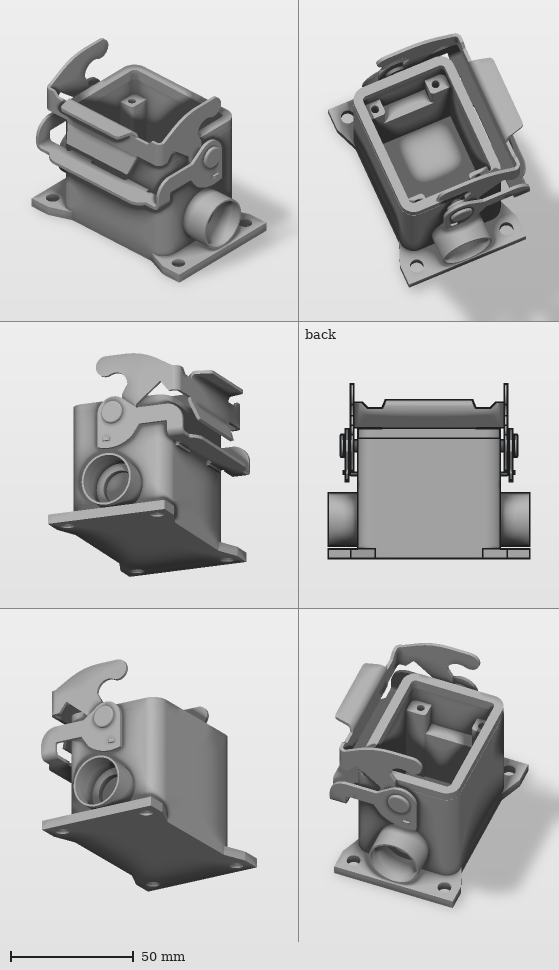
import cadquery as cq
import math


BASE_LENGTH = 82.0
BASE_HALF_WIDTH = 26.0
BASE_HEIGHT = 3.9
EAR_OUTER_X = 31.8
EAR_INNER_X = 21.9
MOUNT_HOLE_X = 34.9
MOUNT_HOLE_Y = 19.9
MOUNT_HOLE_DIAMETER = 5.6
BODY_HALF_LENGTH = 29.0
BODY_HALF_WIDTH = 22.05
BODY_CORNER_RADIUS = 6.0
BODY_HEIGHT = 53.0
RIM_START = 48.95
RIM_INSET = 0.1
CAVITY_HALF_LENGTH = 24.9
CAVITY_HALF_WIDTH = 18.1
CAVITY_CORNER_RADIUS = 1.9
UNDERCUT = 0.3
UNDERCUT_TOP = 48.4
UNDERCUT_CORNER_RADIUS = 2.5
LEDGE_HEIGHT = 29.5
LEFT_LEDGE_X = 19.2
BOSS_HEIGHT = 40.8
BOSS_INNER_X = 18.5
RIGHT_LEDGE_X = BOSS_INNER_X
BOSS_INNER_Y = 10.0
BOSS_EDGE_RADIUS = 1.5
SCREW_X = 22.0
SCREW_Y = 13.45
SCREW_TOP_RADIUS = 1.6
SCREW_BOTTOM_RADIUS = 1.3
SCREW_DEPTH = 8.2

ENTRY_HEIGHT = 16.0
ENTRY_OUTER_RADIUS = 10.9
ENTRY_INNER_RADIUS = 10.1
ENTRY_BORE_END_X = 27.8
KNOCKOUT_RADIUS = 7.05
KNOCKOUT_END_X = CAVITY_HALF_LENGTH

PIN_HEIGHT = 45.9
PIN_RADIUS = 2.5
PIN_HEAD_RADIUS = 4.7
PIN_HEAD_INNER_X = 34.7
PIN_HEAD_OUTER_X = 36.0
PIN_HEAD_ROUNDING = 0.65
PIN_ROOT = 0.8

SHEET = 1.4
BEND_INNER = 1.4
BEND_OUTER = BEND_INNER + SHEET
BEND_OVERLAP = 0.4

BAIL_OUTER_X = 34.0
BAIL_EYE_RADIUS = 7.0
BAIL_SLOPE = math.radians(36.8)
BAIL_ARM_TOP = 46.9
BAIL_ARM_BOTTOM = 39.9
BAIL_BACK_Y = -23.95
BAIL_FRONT_Y = -30.75
BAIL_ARM_RADIUS = 7.2
BAIL_INNER_CORNER_RADIUS = 0.65
BAIL_BELLY_START = (-11.6, BAIL_ARM_BOTTOM)
BAIL_BELLY_KNEE = (-8.3, 35.3)
BAIL_BELLY_MIDDLE = (-2.2, 31.9)
BAIL_BELLY_END = (BAIL_EYE_RADIUS, 32.1)
BAIL_PLATE_BOTTOM = 33.8
BAIL_LIP_Y = -34.2
BAIL_LIP_FLAT_X = 20.1
BAIL_LIP_END_X = 26.6
BAIL_LIP_ROUND_X = 23.7
BAIL_LIP_ROUND_Y = -33.45
SLOT_Y = -24.85
TAB_INNER_X = 9.8
TAB_OUTER_X = 21.3
TAB_BOTTOM = 32.9
NOTCH_RADIUS = 0.9
SLOT_CORNER_RADIUS = 1.2
NUB_Y = 3.0
NUB_Z = 35.1
NUB_LENGTH = 3.1
NUB_HEIGHT = 1.5
NUB_OUTER_X = 34.9
NUB_CHAMFER = 0.6

LEVER_OUTER_X = 32.0
LEVER_FRONT_Y = -28.1
LEVER_TOP = 71.0
LEVER_PLATE_TOP = 63.6
LEVER_PLATE_BOTTOM = 53.2
HOOK_RADIUS = 4.3
HOOK_Y = 4.35
LEVER_CHIN_Y = -23.5
BAY_Z = 58.1
LEVER_BACK_RADIUS = 28.7
LEVER_BACK_START_Y = -4.7
LEVER_BACK_SWEEP = 28
NECK_BACK_Y = -3.1
NECK_SHOULDER_Z = 54.3
NECK_FRONT_Y = -9.3
NECK_FRONT_TOP = 49.0
LEVER_PEAK_Y = -20.0
LEVER_PEAK_Z = 57.65
LEVER_PEAK_RADIUS = 0.4
LEVER_CHIN_RADIUS = 0.8
LEVER_HEEL_RADIUS = 8.4
LEVER_HEEL_Z = 44.1
LEVER_EYE_RADIUS = 4.5
RECESS_Z = 61.3
RECESS_BOTTOM_X = 24.9
RECESS_TOP_X = 27.2
FLANGE_ROOT_X = 19.0
FLANGE_BEND_X = 17.6
FLANGE_TIP_X = 15.9
FLANGE_TIP_RADIUS = 1.8
FLANGE_TOP = 64.7
FLANGE_TIP_Y = -36.0
FLAP_TOP = 51.5
FLAP_ANGLE = math.radians(22.4)
FLAP_LENGTH = 8.3
FLAP_TOP_X = 19.35
FLAP_BOTTOM_X = 16.65
FLAP_CORNER_RADIUS = 1.2


def on_circle(center, radius, degrees):
    """Point on a circle at an angle measured from the first axis."""
    a = math.radians(degrees)
    return (center[0] + radius * math.cos(a), center[1] + radius * math.sin(a))


def mirrored(points):
    """Continue a right-hand outline with its mirror image on the negative side of the first axis."""
    return points + [(-x, y) for x, y in reversed(points)]


def box(x0, x1, y0, y1, z0, z1):
    return cq.Workplane("XY").box(x1 - x0, y1 - y0, z1 - z0, centered=False).translate((x0, y0, z0))


def rod(radius, x0, x1, z):
    """Cylinder along X on the plane Y = 0."""
    return cq.Workplane("YZ", origin=(x0, 0, z)).circle(radius).extrude(x1 - x0)


def both_sides(solid):
    return solid.union(solid.mirror("YZ"))


def four_corners(solid):
    pair = both_sides(solid)
    return pair.union(pair.mirror("XZ"))


def prism_x(points, half_width):
    """Outline in Y and Z, extruded evenly to both sides of X = 0."""
    return cq.Workplane("YZ").polyline(points).close().extrude(half_width, both=True)


def prism_y(points, y0, y1):
    """Outline in X and Z, extruded from y0 to a smaller y1."""
    return cq.Workplane("XZ", origin=(0, y0, 0)).polyline(points).close().extrude(y0 - y1)


def round_edge(solid, point, radius):
    """Fillet the edge whose middle lies nearest to a point."""
    return solid.edges(cq.NearestToPointSelector(point)).fillet(radius)


def make_base():
    half_length = BASE_LENGTH / 2
    base = box(-half_length, half_length, -BASE_HALF_WIDTH, BASE_HALF_WIDTH, 0, BASE_HEIGHT)
    relief = [(EAR_INNER_X, -BODY_HALF_WIDTH), (EAR_OUTER_X, -BASE_HALF_WIDTH)]
    cut = cq.Workplane("XY").polyline(mirrored(relief)).close().extrude(BASE_HEIGHT)
    holes = (
        cq.Workplane("XY")
        .rect(2 * MOUNT_HOLE_X, 2 * MOUNT_HOLE_Y, forConstruction=True)
        .vertices()
        .circle(MOUNT_HOLE_DIAMETER / 2)
        .extrude(BASE_HEIGHT)
    )
    return base.cut(cut).cut(cut.mirror("XZ")).cut(holes)


def make_body():
    def block(inset, z0, z1):
        half_length = BODY_HALF_LENGTH - inset
        half_width = BODY_HALF_WIDTH - inset
        solid = box(-half_length, half_length, -half_width, half_width, z0, z1)
        return solid.edges("|Z").fillet(BODY_CORNER_RADIUS - inset)

    return block(0, 0, RIM_START).union(block(RIM_INSET, RIM_START, BODY_HEIGHT))


def make_cavity():
    """Space to remove from the body, leaving two side ledges and four corner bosses with screw holes."""
    x, y = CAVITY_HALF_LENGTH, CAVITY_HALF_WIDTH
    mouth = box(-x, x, -y, y, UNDERCUT_TOP, BODY_HEIGHT).edges("|Z").fillet(CAVITY_CORNER_RADIUS)
    x += UNDERCUT
    y += UNDERCUT
    chamber = box(-x, x, -y, y, BASE_HEIGHT, UNDERCUT_TOP).edges("|Z").fillet(UNDERCUT_CORNER_RADIUS)
    cavity = mouth.union(chamber)
    cavity = cavity.cut(box(-x, -LEFT_LEDGE_X, -y, y, BASE_HEIGHT, LEDGE_HEIGHT))
    cavity = cavity.cut(box(RIGHT_LEDGE_X, x, -y, y, BASE_HEIGHT, LEDGE_HEIGHT))
    boss = box(BOSS_INNER_X, x, BOSS_INNER_Y, y, BASE_HEIGHT, BOSS_HEIGHT)
    boss = boss.edges("|Z and <X and <Y").fillet(BOSS_EDGE_RADIUS)
    screw = (
        cq.Workplane("XY", origin=(SCREW_X, SCREW_Y, BOSS_HEIGHT - SCREW_DEPTH))
        .circle(SCREW_BOTTOM_RADIUS)
        .workplane(offset=SCREW_DEPTH)
        .circle(SCREW_TOP_RADIUS)
        .loft()
    )
    return cavity.cut(four_corners(boss)).union(four_corners(screw))


def make_entries():
    """Two tubes and the bores that stop inside the body wall."""
    end = BASE_LENGTH / 2
    tube = rod(ENTRY_OUTER_RADIUS, BODY_HALF_LENGTH, end, ENTRY_HEIGHT)
    bore = rod(ENTRY_INNER_RADIUS, ENTRY_BORE_END_X, end, ENTRY_HEIGHT)
    knockout = rod(KNOCKOUT_RADIUS, KNOCKOUT_END_X, ENTRY_BORE_END_X, ENTRY_HEIGHT)
    return both_sides(tube), both_sides(bore.union(knockout))


def make_pins():
    shaft = rod(PIN_RADIUS, BODY_HALF_LENGTH - PIN_ROOT, PIN_HEAD_INNER_X, PIN_HEIGHT)
    head = rod(PIN_HEAD_RADIUS, PIN_HEAD_INNER_X, PIN_HEAD_OUTER_X, PIN_HEIGHT)
    head = head.faces(">X").edges().fillet(PIN_HEAD_ROUNDING)
    return both_sides(shaft.union(head))


def make_bail_side():
    eye = (0, PIN_HEIGHT)
    tangent_angle = 90 + math.degrees(BAIL_SLOPE)
    tangent = on_circle(eye, BAIL_EYE_RADIUS, tangent_angle)
    drop = tangent[1] - BAIL_ARM_TOP
    arm_start_y = tangent[0] - drop / math.tan(BAIL_SLOPE)
    elbow = (BAIL_FRONT_Y + BAIL_ARM_RADIUS, BAIL_ARM_TOP - BAIL_ARM_RADIUS)
    foot_z = BAIL_PLATE_BOTTOM + BEND_OUTER
    side = (
        cq.Workplane("YZ", origin=(BAIL_OUTER_X - SHEET, 0, 0))
        .moveTo(BAIL_EYE_RADIUS, PIN_HEIGHT)
        .threePointArc(on_circle(eye, BAIL_EYE_RADIUS, tangent_angle / 2), tangent)
        .lineTo(arm_start_y, BAIL_ARM_TOP)
        .lineTo(elbow[0], BAIL_ARM_TOP)
        .threePointArc(on_circle(elbow, BAIL_ARM_RADIUS, 135), (BAIL_FRONT_Y, elbow[1]))
        .lineTo(BAIL_FRONT_Y, foot_z)
        .lineTo(BAIL_BACK_Y, foot_z)
        .lineTo(BAIL_BACK_Y, BAIL_ARM_BOTTOM)
        .lineTo(*BAIL_BELLY_START)
        .lineTo(*BAIL_BELLY_KNEE)
        .threePointArc(BAIL_BELLY_MIDDLE, BAIL_BELLY_END)
        .close()
        .extrude(SHEET)
    )
    inner_corner = (BAIL_OUTER_X - SHEET / 2, BAIL_BACK_Y, BAIL_ARM_BOTTOM)
    return round_edge(side, inner_corner, BAIL_INNER_CORNER_RADIUS)


def make_bail_plate():
    """Bottom web with its bends, rounded lip, centre slot and two tabs turned down to the body."""
    z0 = BAIL_PLATE_BOTTOM
    z1 = z0 + SHEET
    leg_top = z0 + BEND_OUTER + BEND_OVERLAP
    outer = box(-BAIL_OUTER_X, BAIL_OUTER_X, BAIL_FRONT_Y, BAIL_BACK_Y, z0, leg_top)
    outer = outer.edges("|Y and <Z").fillet(BEND_OUTER)
    inner_x = BAIL_OUTER_X - SHEET
    inner = box(-inner_x, inner_x, BAIL_FRONT_Y, BAIL_BACK_Y, z1, leg_top)
    channel = outer.cut(inner.edges("|Y and <Z").fillet(BEND_INNER))

    lip = (
        cq.Workplane("XY", origin=(0, 0, z0))
        .moveTo(-BAIL_LIP_END_X, BAIL_FRONT_Y)
        .threePointArc((-BAIL_LIP_ROUND_X, BAIL_LIP_ROUND_Y), (-BAIL_LIP_FLAT_X, BAIL_LIP_Y))
        .lineTo(BAIL_LIP_FLAT_X, BAIL_LIP_Y)
        .threePointArc((BAIL_LIP_ROUND_X, BAIL_LIP_ROUND_Y), (BAIL_LIP_END_X, BAIL_FRONT_Y))
        .close()
        .extrude(SHEET)
    )
    slot = box(-TAB_INNER_X, TAB_INNER_X, SLOT_Y, -BODY_HALF_WIDTH, z0, z1)
    slot = slot.edges("|Z and <Y").fillet(SLOT_CORNER_RADIUS)
    notch_center = (TAB_OUTER_X + NOTCH_RADIUS, SLOT_Y + NOTCH_RADIUS, z0)
    notch = cq.Workplane("XY", origin=notch_center).circle(NOTCH_RADIUS).extrude(SHEET)

    tab = box(TAB_INNER_X, TAB_OUTER_X, BAIL_BACK_Y, -BODY_HALF_WIDTH, TAB_BOTTOM, z1)
    tab = tab.edges("|X and >Y and >Z").fillet(SHEET)
    tab = tab.cut(box(TAB_INNER_X, TAB_OUTER_X, BAIL_BACK_Y, -BODY_HALF_WIDTH - SHEET, TAB_BOTTOM, z0))
    return channel.union(lip).cut(slot).cut(both_sides(notch)).union(both_sides(tab))


def make_bail():
    y0 = NUB_Y - NUB_LENGTH / 2
    z0 = NUB_Z - NUB_HEIGHT / 2
    nub = box(LEVER_OUTER_X, NUB_OUTER_X, y0, y0 + NUB_LENGTH, z0, z0 + NUB_HEIGHT)
    nub = nub.faces(">X").edges("|Z").chamfer(NUB_CHAMFER)
    return make_bail_plate().union(both_sides(make_bail_side().union(nub)))


def make_lever_side():
    eye = (0, PIN_HEIGHT)
    hook = (HOOK_Y, LEVER_TOP - HOOK_RADIUS)
    bay = (0, BAY_Z)
    bay_direction = math.degrees(math.atan2(hook[1] - bay[1], hook[0]))
    bay_radius = math.dist(hook, bay) - HOOK_RADIUS
    back = (LEVER_BACK_START_Y, LEVER_TOP - LEVER_BACK_RADIUS)
    heel = (NECK_FRONT_Y + LEVER_HEEL_RADIUS, LEVER_HEEL_Z)
    heel_bottom = LEVER_HEEL_Z - LEVER_HEEL_RADIUS
    bend_y = LEVER_FRONT_Y + BEND_OUTER
    eye_z = PIN_HEIGHT + math.sqrt(LEVER_EYE_RADIUS**2 - NECK_BACK_Y**2)
    side = (
        cq.Workplane("YZ", origin=(LEVER_OUTER_X - SHEET, 0, 0))
        .moveTo(NECK_BACK_Y, eye_z)
        .lineTo(NECK_BACK_Y, NECK_SHOULDER_Z)
        .lineTo(-bay_radius, BAY_Z)
        .threePointArc(on_circle(bay, bay_radius, 120), on_circle(bay, bay_radius, bay_direction))
        .threePointArc(on_circle(hook, HOOK_RADIUS, 0), (HOOK_Y, LEVER_TOP))
        .lineTo(LEVER_BACK_START_Y, LEVER_TOP)
        .threePointArc(
            on_circle(back, LEVER_BACK_RADIUS, 90 + LEVER_BACK_SWEEP / 2),
            on_circle(back, LEVER_BACK_RADIUS, 90 + LEVER_BACK_SWEEP),
        )
        .lineTo(bend_y, LEVER_PLATE_TOP)
        .lineTo(bend_y, LEVER_PLATE_BOTTOM)
        .lineTo(LEVER_CHIN_Y, LEVER_PLATE_BOTTOM)
        .lineTo(LEVER_PEAK_Y, LEVER_PEAK_Z)
        .lineTo(NECK_FRONT_Y, NECK_FRONT_TOP)
        .lineTo(NECK_FRONT_Y, LEVER_HEEL_Z)
        .threePointArc(on_circle(heel, LEVER_HEEL_RADIUS, 225), (heel[0], heel_bottom))
        .lineTo(NUB_Y, heel_bottom)
        .lineTo(LEVER_EYE_RADIUS, PIN_HEIGHT)
        .threePointArc(on_circle(eye, LEVER_EYE_RADIUS, 60), (NECK_BACK_Y, eye_z))
        .close()
        .extrude(SHEET)
    )
    middle_x = LEVER_OUTER_X - SHEET / 2
    side = round_edge(side, (middle_x, LEVER_PEAK_Y, LEVER_PEAK_Z), LEVER_PEAK_RADIUS)
    return round_edge(side, (middle_x, LEVER_CHIN_Y, LEVER_PLATE_BOTTOM), LEVER_CHIN_RADIUS)


def make_lever_plate():
    """Front plate between the two lever sides, with rounded bends and a lowered top edge."""
    back_y = LEVER_FRONT_Y + BEND_OUTER + BEND_OVERLAP
    z0, z1 = LEVER_PLATE_BOTTOM, LEVER_PLATE_TOP
    outer = box(-LEVER_OUTER_X, LEVER_OUTER_X, LEVER_FRONT_Y, back_y, z0, z1)
    outer = outer.edges("|Z and <Y").fillet(BEND_OUTER)
    inner_x = LEVER_OUTER_X - SHEET
    inner = box(-inner_x, inner_x, LEVER_FRONT_Y + SHEET, back_y, z0, z1)
    plate = outer.cut(inner.edges("|Z and <Y").fillet(BEND_INNER))
    recess = mirrored([(RECESS_BOTTOM_X, RECESS_Z), (RECESS_TOP_X, LEVER_PLATE_TOP)])
    return plate.cut(prism_y(recess, back_y, LEVER_FRONT_Y))


def make_thumb_flange():
    """Flange turned outward from the top of the front plate, narrowing to its tip."""
    back_y = LEVER_FRONT_Y + SHEET
    root_z = RECESS_Z - BEND_OVERLAP
    half_width = FLANGE_ROOT_X
    outer = box(-half_width, half_width, FLANGE_TIP_Y, back_y, root_z, FLANGE_TOP)
    outer = outer.edges("|X and >Y and >Z").fillet(BEND_OUTER)
    inner = box(-half_width, half_width, FLANGE_TIP_Y, LEVER_FRONT_Y, root_z, FLANGE_TOP - SHEET)
    flange = outer.cut(inner.edges("|X and >Y and >Z").fillet(BEND_INNER))
    bend_end_y = back_y - BEND_OUTER
    plan = mirrored([(FLANGE_ROOT_X, back_y), (FLANGE_BEND_X, bend_end_y), (FLANGE_TIP_X, FLANGE_TIP_Y)])
    outline = cq.Workplane("XY", origin=(0, 0, root_z)).polyline(plan).close().extrude(FLANGE_TOP - root_z)
    neck = mirrored([(FLANGE_ROOT_X, root_z), (FLANGE_ROOT_X, RECESS_Z), (FLANGE_BEND_X, FLANGE_TOP)])
    flange = flange.intersect(prism_y(neck, back_y, FLANGE_TIP_Y))
    return flange.intersect(outline.edges("|Z and <Y").fillet(FLANGE_TIP_RADIUS))


def make_flap():
    """Flap below the front plate, bent outward and narrowing downward."""
    run = FLAP_LENGTH * math.sin(FLAP_ANGLE)
    fall = FLAP_LENGTH * math.cos(FLAP_ANGLE)
    back_y = LEVER_FRONT_Y + SHEET
    shift_y = SHEET * math.cos(FLAP_ANGLE)
    shift_z = SHEET * math.sin(FLAP_ANGLE)
    front_top = FLAP_TOP + SHEET * math.tan(FLAP_ANGLE / 2)
    section = [
        (back_y, LEVER_PLATE_BOTTOM),
        (back_y, FLAP_TOP),
        (back_y - run, FLAP_TOP - fall),
        (back_y - run - shift_y, FLAP_TOP - fall + shift_z),
        (LEVER_FRONT_Y, front_top),
        (LEVER_FRONT_Y, LEVER_PLATE_BOTTOM),
    ]
    front = mirrored([(FLAP_TOP_X, LEVER_PLATE_BOTTOM), (FLAP_BOTTOM_X, FLAP_TOP - fall)])
    outline = prism_y(front, back_y, FLANGE_TIP_Y).edges("|Y and <Z").fillet(FLAP_CORNER_RADIUS)
    flap = prism_x(section, FLAP_TOP_X)
    flap = round_edge(flap, (0, back_y, FLAP_TOP), BEND_OUTER)
    flap = round_edge(flap, (0, LEVER_FRONT_Y, front_top), BEND_INNER)
    return flap.intersect(outline)


def make_lever():
    lever = make_lever_plate().union(both_sides(make_lever_side()))
    return lever.union(make_thumb_flange()).union(make_flap())


tubes, bores = make_entries()
housing = make_base().union(make_body()).cut(make_cavity()).union(tubes).cut(bores)
result = housing.union(make_pins()).union(make_bail()).union(make_lever())